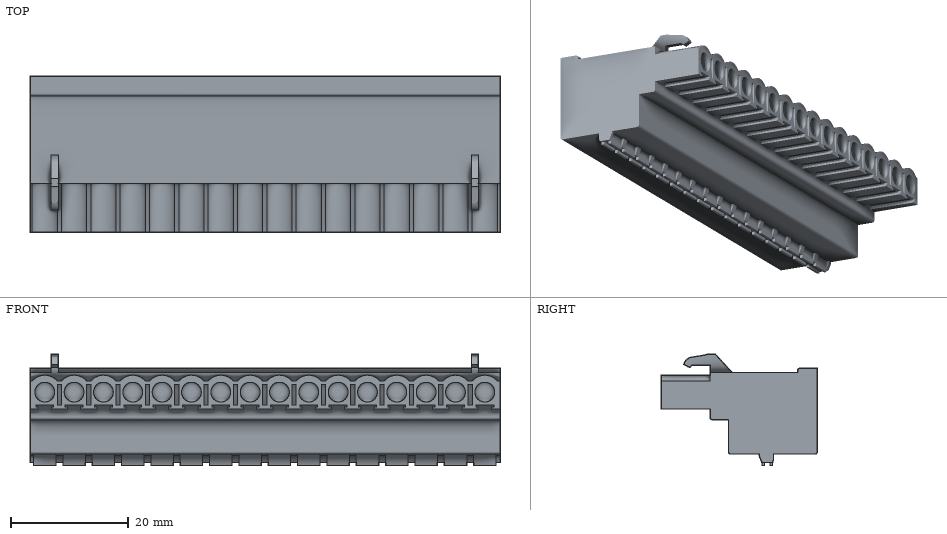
import cadquery as cq
import math


LENGTH = 80.1
POLES = 16
END_MARGIN = 0.2
PITCH = (LENGTH - END_MARGIN) / POLES

DEPTH = 26.6
SHOULDER_Y = -18.3
LOWER_FRONT_Y = -15.1
RIDGE_FRONT_Y = -3.4
RIDGE_TOP = 16.6
DECK_Z = 15.85
SHOULDER_Z = 7.8
BASE_Z = 1.9
EDGE_RADIUS = 0.4

SLEEVE_AXIS_Z = 12.5
SLEEVE_RADIUS = 2.9
VALLEY_Z = 14.4
SLEEVE_BOTTOM = 9.6
WIRE_HOLE_DIAMETER = 3.4
RECESS_DEPTH = 1.0
SLOT_WIDTH = 0.7
SLOT_BOTTOM = 10.3
SLOT_TOP = 13.8
GROOVE_WIDTH = 3.05
GROOVE_MOUTH_WIDTH = 2.25
GROOVE_STEP_Z = 9.9
GROOVE_TOP = 10.3

HOOK_WIDTH = 1.2
HOOK_LEFT = 3.6
HOOK_TOP = 19.0
HOOK_CREST_Y = -17.4
RAMP_START_Y = -14.8
RAMP_START_Z = 16.2
RAMP_ROOT_Y = -13.45
HOOK_UNDERSIDE = 17.1
CREST_END_Y = -18.75
HOOK_BACK_START = (-19.15, 18.8)
HOOK_BACK_END = (-21.6, 18.4)
BEAK_MIDDLE = (-22.35, 17.95)
BEAK_TIP = (-22.75, 17.2)
BEAK_LIP = (-21.7, 16.7)
BEAK_INNER_Y = -21.4
HOOK_ANCHOR = 0.8

RIB_BACK_Y = -7.45
RIB_FRONT_Y = -9.9
RIB_BOTTOM = 0.5
RIB_BACK_BEND_Z = 1.0
RIB_FRONT_BEND_Z = 1.7
FOOT_BACK_Y = -7.6
FOOT_FRONT_Y = -9.45
FOOT_THICKNESS = 0.5
FOOT_WIDTH = 3.85


def along_row(points):
    """Extrude a closed (y, z) outline over the full length of the row."""
    return cq.Workplane("YZ").polyline(points).close().extrude(LENGTH)


def box(x_min, x_max, y_min, y_max, z_min, z_max):
    size = (x_max - x_min, y_max - y_min, z_max - z_min)
    return cq.Workplane("XY").box(*size, centered=False).translate((x_min, y_min, z_min))


def pole_centre(index):
    return (index + 0.5) * PITCH


def make_housing():
    body = along_row([
        (0, BASE_Z),
        (0, RIDGE_TOP),
        (RIDGE_FRONT_Y, RIDGE_TOP),
        (RIDGE_FRONT_Y, DECK_Z),
        (SHOULDER_Y, DECK_Z),
        (SHOULDER_Y, SHOULDER_Z),
        (LOWER_FRONT_Y, SHOULDER_Z),
        (LOWER_FRONT_Y, BASE_Z),
    ])
    rounded_corners = [
        (0, BASE_Z),
        (LOWER_FRONT_Y, BASE_Z),
        (SHOULDER_Y, SHOULDER_Z),
        (RIDGE_FRONT_Y, RIDGE_TOP),
    ]
    for y, z in rounded_corners:
        corner = cq.selectors.NearestToPointSelector((LENGTH / 2, y, z))
        body = body.edges("|X").edges(corner).fillet(EDGE_RADIUS)
    return body


def add_sleeves(body):
    length = DEPTH + SHOULDER_Y
    body = body.union(box(0, LENGTH, -DEPTH, SHOULDER_Y, SLEEVE_BOTTOM, VALLEY_Z))
    front = cq.Workplane("XZ", origin=(0, -DEPTH, 0))
    half_chord = math.sqrt(SLEEVE_RADIUS**2 - (VALLEY_Z - SLEEVE_AXIS_Z)**2)
    for index in range(POLES):
        x = pole_centre(index)
        barrel = (
            front.moveTo(x - half_chord, VALLEY_Z)
            .threePointArc((x, SLEEVE_AXIS_Z + SLEEVE_RADIUS), (x + half_chord, VALLEY_Z))
            .close()
            .extrude(-length)
        )
        body = body.union(barrel)
    return body


def cut_sleeve_recesses(body):
    front = cq.Workplane("XZ", origin=(0, -DEPTH, 0))
    centres = [(pole_centre(index), SLEEVE_AXIS_Z) for index in range(POLES)]
    body = body.cut(front.pushPoints(centres).circle(WIRE_HOLE_DIAMETER / 2).extrude(-RECESS_DEPTH))
    for index in range(1, POLES):
        left = index * PITCH - SLOT_WIDTH / 2
        slot = box(left, left + SLOT_WIDTH, -DEPTH, -DEPTH + RECESS_DEPTH, SLOT_BOTTOM, SLOT_TOP)
        body = body.cut(slot)
    for x, _ in centres:
        for width, bottom, top in (
            (GROOVE_MOUTH_WIDTH, SLEEVE_BOTTOM, GROOVE_STEP_Z),
            (GROOVE_WIDTH, GROOVE_STEP_Z, GROOVE_TOP),
        ):
            body = body.cut(box(x - width / 2, x + width / 2, -DEPTH, SHOULDER_Y, bottom, top))
    return body


def add_hook(body, left):
    """Add a latch hook whose ramp rises from a shallow pocket in the deck."""
    slope = math.atan2(HOOK_TOP - RAMP_START_Z, RAMP_START_Y - HOOK_CREST_Y)
    foot_radius = (RAMP_ROOT_Y - RAMP_START_Y) / math.sin(slope)
    root_z = RAMP_START_Z - foot_radius * (1 - math.cos(slope))
    foot_middle = (
        RAMP_ROOT_Y - foot_radius * math.sin(slope / 2),
        root_z + foot_radius * (1 - math.cos(slope / 2)),
    )
    pocket = box(left, left + HOOK_WIDTH, SHOULDER_Y, RAMP_ROOT_Y, root_z, DECK_Z)
    hook = (
        cq.Workplane("YZ", origin=(left, 0, 0))
        .moveTo(RAMP_ROOT_Y, root_z)
        .threePointArc(foot_middle, (RAMP_START_Y, RAMP_START_Z))
        .lineTo(HOOK_CREST_Y, HOOK_TOP)
        .lineTo(CREST_END_Y, HOOK_TOP)
        .lineTo(*HOOK_BACK_START)
        .lineTo(*HOOK_BACK_END)
        .threePointArc(BEAK_MIDDLE, BEAK_TIP)
        .lineTo(*BEAK_LIP)
        .lineTo(BEAK_INNER_Y, HOOK_UNDERSIDE)
        .lineTo(SHOULDER_Y, HOOK_UNDERSIDE)
        .lineTo(SHOULDER_Y, root_z - HOOK_ANCHOR)
        .lineTo(RAMP_ROOT_Y, root_z - HOOK_ANCHOR)
        .close()
        .extrude(HOOK_WIDTH)
    )
    return body.cut(pocket).union(hook)


def add_rib_and_feet(body):
    rib = along_row([
        (RIB_BACK_Y, BASE_Z),
        (RIB_BACK_Y, RIB_BACK_BEND_Z),
        (FOOT_BACK_Y, RIB_BOTTOM),
        (FOOT_FRONT_Y, RIB_BOTTOM),
        (RIB_FRONT_Y, RIB_FRONT_BEND_Z),
        (RIB_FRONT_Y, BASE_Z),
    ])
    for index in range(POLES):
        left = pole_centre(index) - FOOT_WIDTH / 2
        right = left + FOOT_WIDTH
        rib = rib.cut(box(left, right, RIB_FRONT_Y, FOOT_FRONT_Y, RIB_BOTTOM, BASE_Z))
        for front_y in (FOOT_FRONT_Y, FOOT_BACK_Y - FOOT_THICKNESS):
            rib = rib.union(box(left, right, front_y, front_y + FOOT_THICKNESS, 0, RIB_BOTTOM))
    return body.union(rib)


result = make_housing()
result = add_sleeves(result)
result = cut_sleeve_recesses(result)
result = add_rib_and_feet(result)
result = add_hook(result, HOOK_LEFT)
result = add_hook(result, POLES * PITCH - HOOK_LEFT - HOOK_WIDTH)